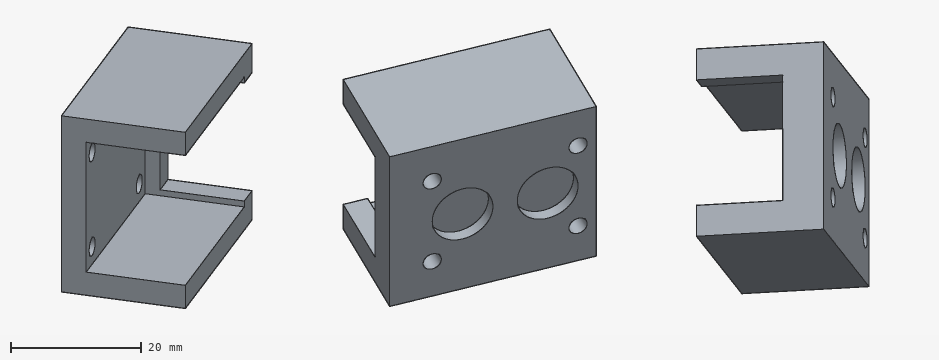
import cadquery as cq

size_x = 20.0
size_y = 34.0
size_z = 29.9

web = 4.0
channel_opening = 22.0
lip_length = 4.0
lip_web = 6.43
lip_opening = 20.0

screw_diameter = 3.0
screw_spacing_y = 24.0
screw_spacing_z = 16.0
pocket_diameter = 10.0
pocket_spacing = 14.0
pocket_depth = 2.0

channel_length = size_y - lip_length
pattern_y = channel_length / 2


def channel_cut(thickness, opening, y_start, y_end):
    """Slot through the +X side that leaves a web of the given thickness."""
    return (
        cq.Workplane("XY")
        .box(size_x - thickness, y_end - y_start, opening, centered=(False, False, True))
        .translate((thickness, y_start, 0))
    )


def web_holes(diameter, depth, points):
    """Round cutters entering the -X face at points given as (Y, Z)."""
    return (
        cq.Workplane("YZ")
        .center(pattern_y, 0)
        .pushPoints(points)
        .circle(diameter / 2)
        .extrude(depth)
    )


block = cq.Workplane("XY").box(size_x, size_y, size_z, centered=(False, False, True))
main_channel = channel_cut(web, channel_opening, 0, channel_length)
lip_channel = channel_cut(lip_web, lip_opening, channel_length, size_y)

screw_points = [
    (side_y * screw_spacing_y / 2, side_z * screw_spacing_z / 2)
    for side_y in (-1, 1)
    for side_z in (-1, 1)
]
pocket_points = [(side * pocket_spacing / 2, 0) for side in (-1, 1)]

result = (
    block.cut(main_channel)
    .cut(lip_channel)
    .cut(web_holes(screw_diameter, web, screw_points))
    .cut(web_holes(pocket_diameter, pocket_depth, pocket_points))
)